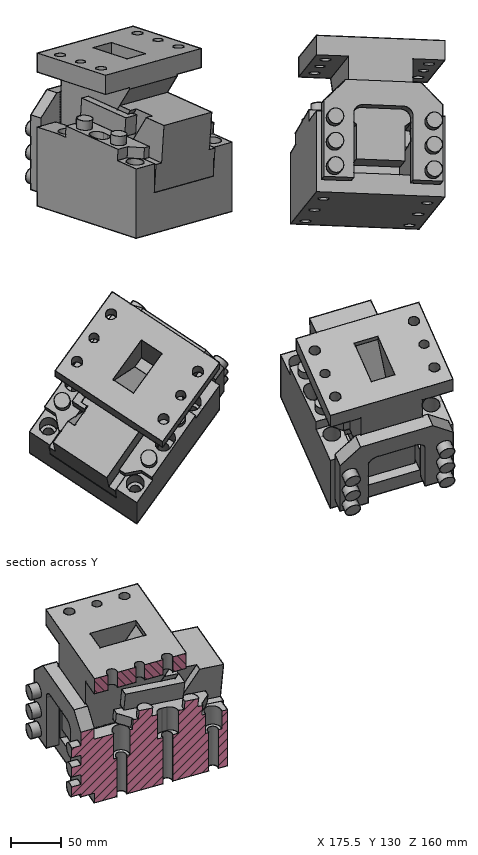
import cadquery as cq
import math


OVERALL_LENGTH = 175.5
OVERALL_WIDTH = 130.0
OVERALL_HEIGHT = 160.0

GUIDE_ANGLE = 5.0
CAM_ANGLE = 55.0

PLATE_THICKNESS = 15.0
PLATE_WIDTH = 120.0
PLATE_BOTTOM = 12.5
PLATE_HEIGHT = 100.0
PLATE_CHAMFER = 21.8
WINDOW_WIDTH = 60.0
WINDOW_TOP = 87.6
WINDOW_FILLET = 10.0
PLATE_RECESS = 1.0
PLATE_RECESS_WIDTH = 66.0
PLATE_SCREW_SPREAD = 99.9
PLATE_SCREW_PITCH = 25.0
PLATE_SCREW_LOWEST = 22.6
HEAD_DIAMETER = 16.0
HEAD_HEIGHT = 10.0

GUIDE_Z = 72.3
SLIDE_WIDTH = 65.0
SLIDE_TOP = 40.0
WING_WIDTH = 80.0
WING_THICKNESS = 30.0
TOE_X = 45.1
NOSE_WIDTH = 52.3
NOSE_BOTTOM = -60.0
NOSE_FILLET = 10.0
NOSE_TOP_HEIGHT = 52.7
NOSE_LENGTH = 27.0

BASE_LENGTH = 145.0
BASE_FRONT_HEIGHT = 82.5
STRAP_SPACING = 66.7
NOSE_SLOT_WIDTH = 60.0
NOSE_SLOT_FLOOR = -64.0
NOSE_SLOT_END = -63.2

STRAP_THICKNESS = 12.0
STRAP_LENGTH = 100.0
STRAP_END_GAP = 18.0
STRAP_CLIP_LENGTH = 11.8
STRAP_CLIP_WIDTH = 11.8
STRAP_SCREW_PITCH = 50.0

HOLE_ROW_SPREAD = 105.0
HOLE_DIAMETER = 11.0
COUNTERBORE_DIAMETER = 17.7
COUNTERBORE_FLOOR = 50.0
BASE_HOLE_XS = (30.0, 129.9)
SLOT_DIAMETER = 16.5
SLOT_CENTER_TRAVEL = 6.0
SLOT_SPREAD = 109.2
SLOT_FLOOR = 60.0
BASE_MIDDLE_X = 80.0
DOWEL_DIAMETER = 10.0
FLANGE_BOLT_XS = (20.0, 80.0)
FLANGE_DOWEL_X = 50.0

FLANGE_LENGTH = 100.0
FLANGE_THICKNESS = 20.0
CAM_TOP_HEIGHT = 138.3
FOOT_WIDTH = 49.2
FOOT_BOTTOM = 35.1
SHOULDER_TOP = 76.5
SHOULDER_BOTTOM = 70.5
POCKET_START = 25.0
POCKET_LENGTH = 50.0
POCKET_WIDTH = 25.0
POCKET_DEPTH = 60.5
POCKET_SHALLOW_DEPTH = 5.6

HOOK_LENGTH = 65.0
HOOK_HEIGHT = 20.0
HOOK_THICKNESS = 9.0
HOOK_LIP = 6.0
HOOK_BOTTOM = 15.1
HOOK_END = -46.0
NOTCH_DEPTH = 7.9
NOTCH_OFFSET = 16.7
NOTCH_LENGTH = 24.5

CAM_SLOPE = math.tan(math.radians(CAM_ANGLE))
GUIDE_SIN = math.sin(math.radians(GUIDE_ANGLE))
GUIDE_COS = math.cos(math.radians(GUIDE_ANGLE))
SLIDE_TIP_X = OVERALL_LENGTH - PLATE_THICKNESS - HEAD_HEIGHT
GUIDE_X = SLIDE_TIP_X - SLIDE_TOP * GUIDE_SIN
FLANGE_BOTTOM = OVERALL_HEIGHT - FLANGE_THICKNESS
HOLE_ROWS = (-HOLE_ROW_SPREAD / 2, HOLE_ROW_SPREAD / 2)
BEYOND = 2 * OVERALL_LENGTH


def cam_x(z):
    """X of the cam face at height z."""
    return FLANGE_LENGTH - (CAM_TOP_HEIGHT - z) / CAM_SLOPE


def block(x0, x1, y0, y1, z0, z1):
    """Box between two opposite corners."""
    return cq.Workplane("XY").box(x1 - x0, y1 - y0, z1 - z0, centered=False).translate((x0, y0, z0))


def wide_block(x0, x1, width, z0, z1):
    """Box centred across Y."""
    return block(x0, x1, -width / 2, width / 2, z0, z1)


def tilt(shape):
    """Move a shape from the guide frame into place."""
    return shape.rotate((0, 0, 0), (0, 1, 0), GUIDE_ANGLE).translate((GUIDE_X, 0, GUIDE_Z))


def side_profile(points, width):
    """XZ outline extruded symmetrically across Y."""
    return cq.Workplane("XZ").polyline(points).close().extrude(width / 2, both=True)


def beyond_cam(offset):
    """Everything on the +X side of a plane parallel to the cam face."""
    low, high = -OVERALL_HEIGHT, 2 * OVERALL_HEIGHT
    outline = [(cam_x(low) + offset, low), (BEYOND, low), (BEYOND, high), (cam_x(high) + offset, high)]
    return side_profile(outline, OVERALL_WIDTH)



def make_strap():
    """Strap on the +Y side with clipped outer corners and two screw heads."""
    right = -STRAP_END_GAP
    left = right - STRAP_LENGTH
    outer = OVERALL_WIDTH / 2
    clip_y = WING_WIDTH / 2 + STRAP_CLIP_WIDTH
    outline = [
        (left, STRAP_SPACING / 2),
        (right, STRAP_SPACING / 2),
        (right, WING_WIDTH / 2),
        (right - STRAP_CLIP_LENGTH, clip_y),
        (right - STRAP_CLIP_LENGTH, outer),
        (left + STRAP_CLIP_LENGTH, outer),
        (left + STRAP_CLIP_LENGTH, clip_y),
        (left, WING_WIDTH / 2),
    ]
    strap = cq.Workplane("XY").polyline(outline).close().extrude(STRAP_THICKNESS)
    middle = (left + right) / 2
    centers = [(middle + side * STRAP_SCREW_PITCH / 2, HOLE_ROW_SPREAD / 2) for side in (-1, 1)]
    heads = cq.Workplane("XY").pushPoints(centers).circle(HEAD_DIAMETER / 2)
    return strap.union(heads.extrude(STRAP_THICKNESS + HEAD_HEIGHT))


def make_front_plate():
    """Chamfered bridge plate with an open-bottomed window and six screw heads."""
    top = PLATE_BOTTOM + PLATE_HEIGHT
    plate = wide_block(-PLATE_THICKNESS, 0, PLATE_WIDTH, PLATE_BOTTOM, top)
    plate = plate.edges("|X and >Z").chamfer(PLATE_CHAMFER)
    window = wide_block(-PLATE_THICKNESS, 0, WINDOW_WIDTH, 0, WINDOW_TOP)
    window = window.edges("|X and >Z").fillet(WINDOW_FILLET)
    recess = wide_block(-PLATE_RECESS, 0, PLATE_RECESS_WIDTH, 0, top)
    centers = [
        (side * PLATE_SCREW_SPREAD / 2, PLATE_SCREW_LOWEST + row * PLATE_SCREW_PITCH)
        for side in (-1, 1)
        for row in range(3)
    ]
    heads = cq.Workplane("YZ", origin=(-PLATE_THICKNESS, 0, 0)).pushPoints(centers)
    heads = heads.circle(HEAD_DIAMETER / 2).extrude(-HEAD_HEIGHT)
    return plate.cut(window).cut(recess).union(heads)


def cylinders(centers, diameter, floor):
    """Vertical round cutters that start at the floor height."""
    plane = cq.Workplane("XY", origin=(0, 0, floor))
    return plane.pushPoints(centers).circle(diameter / 2).extrude(OVERALL_HEIGHT)


def make_end_holes():
    """Cutter for the counterbored holes at both ends of each row."""
    centers = [(x, y) for x in BASE_HOLE_XS for y in HOLE_ROWS]
    bores = cylinders(centers, COUNTERBORE_DIAMETER, COUNTERBORE_FLOOR)
    return bores.union(cylinders(centers, HOLE_DIAMETER, 0))


def make_middle_holes():
    """Cutter for the slotted holes that go down through the straps."""
    slot_centers = [(BASE_MIDDLE_X, side * SLOT_SPREAD / 2) for side in (-1, 1)]
    slots = cq.Workplane("XY", origin=(0, 0, SLOT_FLOOR)).pushPoints(slot_centers)
    slots = slots.slot2D(SLOT_CENTER_TRAVEL + SLOT_DIAMETER, SLOT_DIAMETER).extrude(OVERALL_HEIGHT)
    return slots.union(cylinders([(BASE_MIDDLE_X, y) for y in HOLE_ROWS], HOLE_DIAMETER, 0))


def make_base():
    block_top_end = GUIDE_Z + (GUIDE_X - BASE_LENGTH) * GUIDE_SIN / GUIDE_COS
    bend_x = GUIDE_X - (BASE_FRONT_HEIGHT - GUIDE_Z) * GUIDE_COS / GUIDE_SIN
    outline = [
        (0, 0),
        (BASE_LENGTH, 0),
        (BASE_LENGTH, block_top_end),
        (bend_x, BASE_FRONT_HEIGHT),
        (0, BASE_FRONT_HEIGHT),
    ]
    base = side_profile(outline, OVERALL_WIDTH).cut(make_end_holes())
    strap = make_strap()
    base = base.union(tilt(strap)).union(tilt(strap.mirror("XZ")))
    strap_gap = wide_block(-BEYOND, BEYOND, STRAP_SPACING, 0, SLIDE_TOP)
    channel = wide_block(-BEYOND, BEYOND, WING_WIDTH, -WING_THICKNESS, 0)
    nose_slot = wide_block(-BEYOND, NOSE_SLOT_END, NOSE_SLOT_WIDTH, NOSE_SLOT_FLOOR, 0)
    for cutter in (strap_gap, channel, nose_slot):
        base = base.cut(tilt(cutter))
    base = base.cut(make_middle_holes())
    return base.union(make_front_plate())



def make_stem():
    """Column under the flange: wide above its shoulders, narrow below, ended by the cam face."""
    half = SLIDE_WIDTH / 2
    foot = FOOT_WIDTH / 2
    outline = [
        (-half, FLANGE_BOTTOM),
        (-half, SHOULDER_TOP),
        (-foot, SHOULDER_BOTTOM),
        (-foot, FOOT_BOTTOM),
        (foot, FOOT_BOTTOM),
        (foot, SHOULDER_BOTTOM),
        (half, SHOULDER_TOP),
        (half, FLANGE_BOTTOM),
    ]
    stem = cq.Workplane("YZ").polyline(outline).close().extrude(FLANGE_LENGTH)
    return stem.cut(beyond_cam(0))


def make_flange():
    """Top plate with two bolt holes and one dowel hole on each side."""
    flange = wide_block(0, FLANGE_LENGTH, OVERALL_WIDTH, FLANGE_BOTTOM, OVERALL_HEIGHT)
    holes = cylinders([(x, y) for x in FLANGE_BOLT_XS for y in HOLE_ROWS], HOLE_DIAMETER, 0)
    dowels = cylinders([(FLANGE_DOWEL_X, y) for y in HOLE_ROWS], DOWEL_DIAMETER, 0)
    return flange.cut(holes).cut(dowels)


def make_driver_pocket():
    """Cutter for the top pocket, whose floor rises parallel to the cam face."""
    end = POCKET_START + POCKET_LENGTH
    floor = OVERALL_HEIGHT - POCKET_DEPTH
    floor_end = end - (POCKET_DEPTH - POCKET_SHALLOW_DEPTH) / CAM_SLOPE
    outline = [
        (POCKET_START, OVERALL_HEIGHT),
        (POCKET_START, floor),
        (floor_end, floor),
        (end, OVERALL_HEIGHT - POCKET_SHALLOW_DEPTH),
        (end, OVERALL_HEIGHT),
    ]
    return side_profile(outline, POCKET_WIDTH)


def make_return_hook():
    """Side plate with a lip that reaches into the slide notch."""
    face_y = -SLIDE_WIDTH / 2
    top = HOOK_BOTTOM + HOOK_HEIGHT
    start = HOOK_END - HOOK_LENGTH
    plate = tilt(block(start, HOOK_END, face_y - HOOK_THICKNESS, face_y, HOOK_BOTTOM, top))
    lip = tilt(block(start, HOOK_END, face_y, face_y + HOOK_LIP, HOOK_BOTTOM, top))
    return plate.union(lip.intersect(beyond_cam(NOTCH_OFFSET)))


def make_driver():
    driver = make_flange().union(make_stem()).cut(make_driver_pocket())
    return driver.union(make_return_hook())



def make_notch():
    """Cutter for the slanted notch in the -Y side of the slide."""
    band = beyond_cam(NOTCH_OFFSET)
    band = band.cut(beyond_cam(NOTCH_OFFSET + NOTCH_LENGTH))
    face_y = -SLIDE_WIDTH / 2
    return band.intersect(tilt(block(-BEYOND, 0, face_y, face_y + NOTCH_DEPTH, 0, SLIDE_TOP)))


def make_nose():
    """Lug under the cam face, with rounded bottom edges and a front square to the guide."""
    tip_x = cam_x(NOSE_TOP_HEIGHT)
    start = (tip_x - GUIDE_X) * GUIDE_COS - (NOSE_TOP_HEIGHT - GUIDE_Z) * GUIDE_SIN
    nose = wide_block(start, start + NOSE_LENGTH, NOSE_WIDTH, NOSE_BOTTOM, 0)
    return tilt(nose.edges("|X and <Z").fillet(NOSE_FILLET))


def make_slide():
    body = wide_block(-BEYOND, 0, SLIDE_WIDTH, 0, SLIDE_TOP)
    wings = wide_block(-BEYOND, 0, WING_WIDTH, -WING_THICKNESS, 0)
    ahead_of_toe = wide_block(-BEYOND, TOE_X, OVERALL_WIDTH, 0, OVERALL_HEIGHT)
    slide = tilt(body.union(wings)).cut(ahead_of_toe).union(make_nose())
    return slide.intersect(beyond_cam(0)).cut(make_notch())


base = make_base()
driver = make_driver()
slide = make_slide()

result = cq.Compound.makeCompound([body.solids().val() for body in (base, driver, slide)])